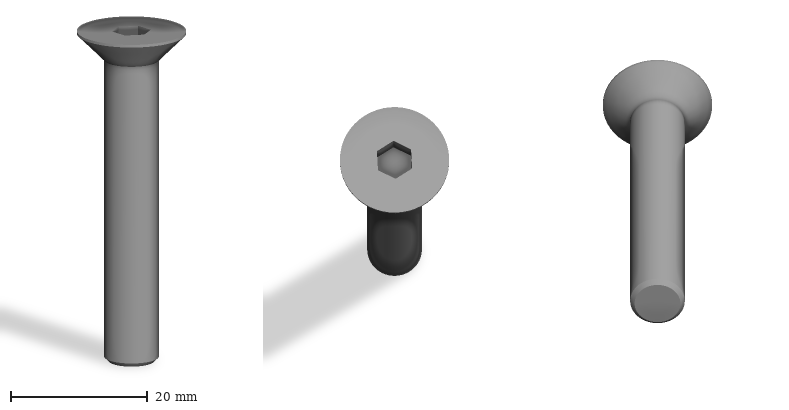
import cadquery as cq
import math

total_length = 50.0
shank_radius = 4.0
head_radius = 8.0
rim_height = 0.4
tip_chamfer = 0.65

socket_across_flats = 5.0
socket_depth = 3.5

cone_height = head_radius - shank_radius
rim_bottom = total_length - rim_height
cone_bottom = rim_bottom - cone_height


def screw_body():
    """Revolve the half outline of the tip, shank and head about Z."""
    return (
        cq.Workplane("XZ")
        .lineTo(shank_radius - tip_chamfer, 0)
        .lineTo(shank_radius, tip_chamfer)
        .lineTo(shank_radius, cone_bottom)
        .lineTo(head_radius, rim_bottom)
        .lineTo(head_radius, total_length)
        .lineTo(0, total_length)
        .close()
        .revolve(360, (0, 0), (0, 1))
    )


def hex_socket():
    """Hexagonal prism reaching down from the top face."""
    across_corners = socket_across_flats / math.cos(math.pi / 6)
    return (
        cq.Workplane("XY", origin=(0, 0, total_length - socket_depth))
        .transformed(rotate=(0, 0, 90))
        .polygon(6, across_corners)
        .extrude(socket_depth)
    )


result = screw_body().cut(hex_socket())